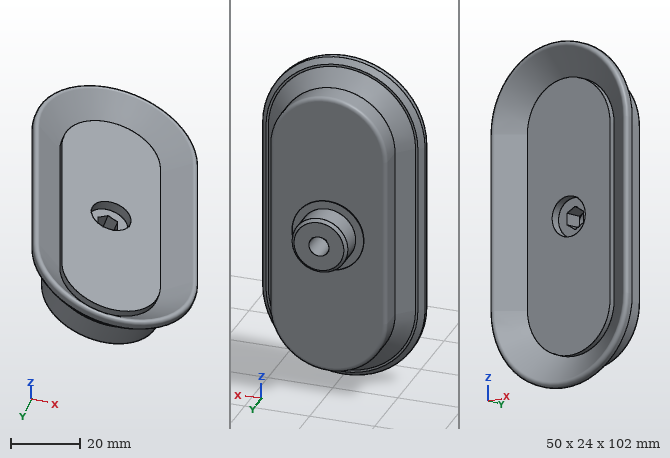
import cadquery as cq
import math

rim_radius = 25.0
total_height = 102.0
total_depth = 24.0
half_straight = total_height / 2 - rim_radius

rim_round = 1.0
rim_depth = 2.4
lip_depth = 4.1
lip_radius = rim_radius - (lip_depth - rim_depth)
skirt_step = 0.7

body_width = 36.0
body_radius = body_width / 2
body_depth = 16.0
body_fillet = 1.2
skirt_radius = lip_radius - skirt_step
skirt_depth = lip_depth + skirt_radius - body_radius

dish_slope = math.radians(39)
island_radius = 15.0
island_depth = 5.0

pad_radius = 11.0
pad_thickness = 0.3
boss_radius = 8.6
boss_chamfer = 0.9

counterbore_radius = 6.0
counterbore_depth = 3.1
socket_across_flats = 5.9
socket_depth = 6.1
bore_radius = 3.1


def shell_section():
    """Half cross-section of the racetrack shell, with X as radius and Y as depth."""
    round_x = rim_radius - rim_round
    tangent_x = round_x - rim_round * math.sin(dish_slope)
    tangent_y = rim_round * (1 - math.cos(dish_slope))
    dish_depth = tangent_y + (tangent_x - island_radius) * math.tan(dish_slope)
    return (
        cq.Workplane("XY", origin=(0, 0, -half_straight))
        .moveTo(0, island_depth)
        .lineTo(island_radius, island_depth)
        .lineTo(island_radius, dish_depth)
        .lineTo(tangent_x, tangent_y)
        .threePointArc((round_x, 0), (rim_radius, rim_round))
        .lineTo(rim_radius, rim_depth)
        .lineTo(lip_radius, lip_depth)
        .lineTo(skirt_radius, lip_depth)
        .lineTo(body_radius, skirt_depth)
        .lineTo(body_radius, body_depth - body_fillet)
        .radiusArc((body_radius - body_fillet, body_depth), -body_fillet)
        .lineTo(0, body_depth)
        .close()
    )


def cylinder(radius, start, end):
    """Cylinder along Y between two depths."""
    return cq.Workplane("XZ", origin=(0, start, 0)).circle(radius).extrude(start - end)


def hexagonal_prism(across_flats, start, end):
    """Hexagonal prism along Y with two of its corners on the Z axis."""
    across_corners = across_flats / math.cos(math.pi / 6)
    plane = cq.Workplane("XZ", origin=(0, start, 0)).transformed(rotate=(0, 0, 90))
    return plane.polygon(6, across_corners).extrude(start - end)


straight_side = shell_section().extrude(2 * half_straight)
round_end = shell_section().revolve(180, (0, 0), (0, 1))
shell = (
    straight_side.union(straight_side.mirror("YZ"))
    .union(round_end)
    .union(round_end.mirror("XY"))
)

pad = cylinder(pad_radius, body_depth, body_depth + pad_thickness)
boss = cylinder(boss_radius, body_depth, total_depth).faces(">Y").chamfer(boss_chamfer)

counterbore_end = island_depth + counterbore_depth
socket_end = counterbore_end + socket_depth
counterbore = cylinder(counterbore_radius, island_depth, counterbore_end)
socket = hexagonal_prism(socket_across_flats, counterbore_end, socket_end)
bore = cylinder(bore_radius, socket_end, total_depth)

result = shell.union(pad).union(boss).cut(counterbore).cut(socket).cut(bore)